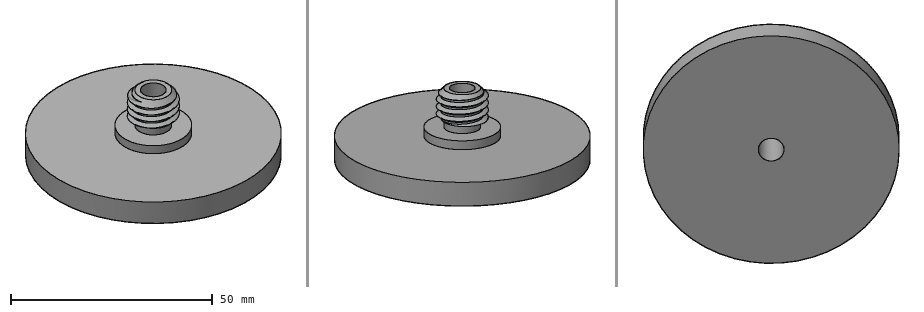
import cadquery as cq
import math

plate_diameter = 63.5
plate_height = 6.35
flange_diameter = 19.05
flange_top = 8.7
bore_diameter = 6.35

neck_diameter = 9.15
thread_bottom = 11.1
stud_top = 19.05
thread_diameter = 12.95
core_diameter = 10.65
turns_on_stud = 4.1
thread_pitch = (stud_top - thread_bottom) / turns_on_stud
flank_angle = 32.0
first_crest_z = 10.1
thread_overlap = 0.1

neck_radius = neck_diameter / 2
core_radius = core_diameter / 2
crest_radius = thread_diameter / 2


def cylinder(diameter, bottom, top):
    return cq.Workplane("XY").workplane(offset=bottom).circle(diameter / 2).extrude(top - bottom)


def thread_ridge():
    """Right-handed sharp ridge, longer than the stud at both ends."""
    ridge_base = core_radius - thread_overlap
    half_width = (crest_radius - ridge_base) * math.tan(math.radians(flank_angle))
    turns = math.ceil((stud_top - first_crest_z) / thread_pitch) + 1
    path = cq.Wire.makeHelix(thread_pitch, turns * thread_pitch, core_radius)
    ridge = (
        cq.Workplane("XZ")
        .moveTo(ridge_base, -half_width)
        .lineTo(crest_radius, 0)
        .lineTo(ridge_base, half_width)
        .close()
        .sweep(cq.Workplane(path), isFrenet=True)
    )
    return ridge.translate((0, 0, first_crest_z - thread_pitch))


def stud_envelope():
    """Flat-bottomed limit of the thread with a 45 degree lead-in at the top."""
    limit_radius = crest_radius + thread_overlap
    chamfer_size = limit_radius - neck_radius
    return (
        cylinder(2 * limit_radius, thread_bottom, stud_top)
        .faces(">Z")
        .chamfer(chamfer_size)
    )


core = cylinder(core_diameter, thread_bottom, stud_top)
envelope = stud_envelope()
threaded_stud = core.intersect(envelope).union(thread_ridge().intersect(envelope))

result = (
    cylinder(plate_diameter, 0, plate_height)
    .union(cylinder(flange_diameter, plate_height, flange_top))
    .union(cylinder(neck_diameter, flange_top, thread_bottom))
    .union(threaded_stud)
    .cut(cylinder(bore_diameter, 0, stud_top))
)